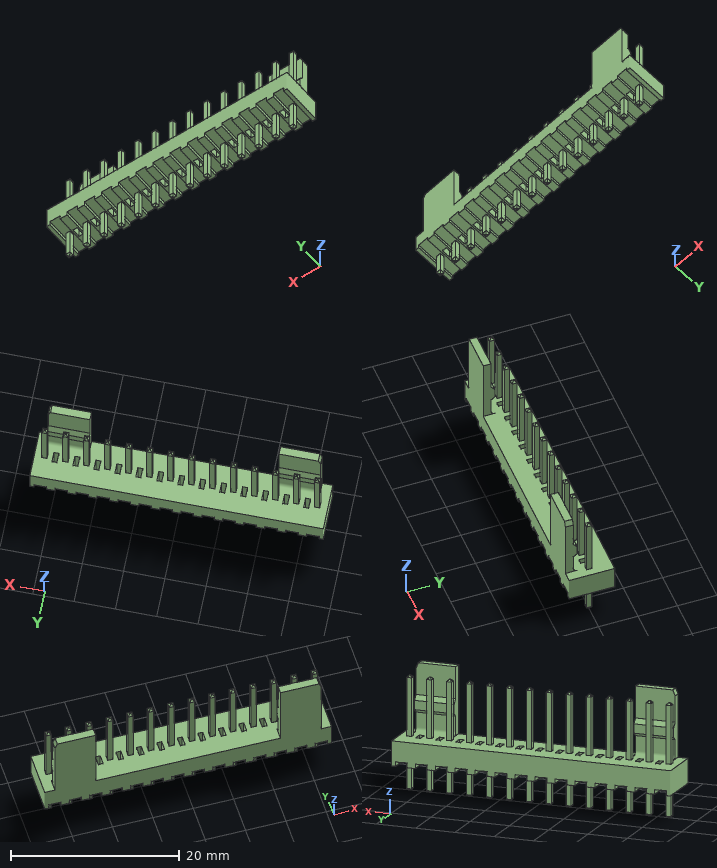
import cadquery as cq
import math

PIN_COUNT = 14
PITCH = 2.54
PIN_SIDE = 0.64
PIN_TIP_LENGTH = 0.25
PIN_TIP_FLAT = 0.14
PIN_BELOW_BASE = 3.6
PIN_ABOVE_BASE = 7.5

BASE_LENGTH = PIN_COUNT * PITCH
BASE_WIDTH = 5.8
BASE_HEIGHT = 3.13
CORNER_RADIUS = 0.05
FRONT_Y = -BASE_WIDTH / 2

CHANNEL_WIDTH = 1.5
CHANNEL_DEPTH = 0.57

SLOT_LENGTH = 0.6
SLOT_WIDTH = 1.2

TOTAL_HEIGHT = 15.26
WALL_TOP = TOTAL_HEIGHT - PIN_BELOW_BASE
WALL_LENGTH = 2 * PITCH
WALL_THICKNESS = 1.0
WALL_OUTER_X = (PIN_COUNT - 1) * PITCH / 2
WALL_CHAMFER_X = 0.3
WALL_CHAMFER_Z = 0.7
WALL_FOOT_RADIUS = 0.5

BUMP_HEIGHT = 0.5
BUMP_BOTTOM = BASE_HEIGHT + 2.4
BUMP_LOWER_RAMP = 0.43
BUMP_CREST = 1.15
BUMP_UPPER_RAMP = 0.6


def pin_positions():
    """X coordinate of every pin, from -X to +X."""
    return [(i - (PIN_COUNT - 1) / 2) * PITCH for i in range(PIN_COUNT)]


def make_base():
    """Block with rounded vertical edges, underside channels and through slots."""
    base = cq.Workplane("XY").box(BASE_LENGTH, BASE_WIDTH, BASE_HEIGHT, centered=(True, True, False))
    base = base.edges("|Z").fillet(CORNER_RADIUS)

    channels = (
        cq.Workplane("XY")
        .pushPoints([(x, 0) for x in pin_positions()])
        .rect(CHANNEL_WIDTH, BASE_WIDTH)
        .extrude(CHANNEL_DEPTH)
    )
    slots = (
        cq.Workplane("XY")
        .pushPoints([(x + PITCH / 2, 0) for x in pin_positions()[:-1]])
        .rect(SLOT_LENGTH, SLOT_WIDTH)
        .extrude(BASE_HEIGHT)
    )
    return base.cut(channels).cut(slots)


def make_right_wall():
    """Wall at the +X end: bumped YZ profile with its outer top corner cut off."""
    inner_y = FRONT_Y + WALL_THICKNESS
    foot_y = inner_y + WALL_FOOT_RADIUS
    foot_top = BASE_HEIGHT + WALL_FOOT_RADIUS
    foot_mid = WALL_FOOT_RADIUS * (1 - math.sqrt(0.5))
    crest_y = inner_y + BUMP_HEIGHT
    crest_bottom = BUMP_BOTTOM + BUMP_LOWER_RAMP
    crest_top = crest_bottom + BUMP_CREST

    wall = (
        cq.Workplane("YZ", origin=(WALL_OUTER_X - WALL_LENGTH, 0, 0))
        .moveTo(FRONT_Y, BASE_HEIGHT)
        .lineTo(foot_y, BASE_HEIGHT)
        .threePointArc((inner_y + foot_mid, BASE_HEIGHT + foot_mid), (inner_y, foot_top))
        .lineTo(inner_y, BUMP_BOTTOM)
        .lineTo(crest_y, crest_bottom)
        .lineTo(crest_y, crest_top)
        .lineTo(inner_y, crest_top + BUMP_UPPER_RAMP)
        .lineTo(inner_y, WALL_TOP)
        .lineTo(FRONT_Y, WALL_TOP)
        .close()
        .extrude(WALL_LENGTH)
    )
    corner = (
        cq.Workplane("XZ", origin=(0, FRONT_Y, 0))
        .moveTo(WALL_OUTER_X, WALL_TOP)
        .lineTo(WALL_OUTER_X - WALL_CHAMFER_X, WALL_TOP)
        .lineTo(WALL_OUTER_X, WALL_TOP - WALL_CHAMFER_Z)
        .close()
        .extrude(-WALL_THICKNESS)
    )
    return wall.cut(corner)


def make_pin_tip(base_z, direction):
    """Truncated pyramid that closes a pin end; direction is +1 for up and -1 for down."""
    return (
        cq.Workplane("XY", origin=(0, 0, base_z))
        .rect(PIN_SIDE, PIN_SIDE)
        .workplane(offset=direction * PIN_TIP_LENGTH)
        .rect(PIN_TIP_FLAT, PIN_TIP_FLAT)
        .loft(ruled=True)
    )


def make_pin():
    """Square pin with a tapered tip at both ends."""
    shank_bottom = PIN_TIP_LENGTH - PIN_BELOW_BASE
    shank_top = BASE_HEIGHT + PIN_ABOVE_BASE - PIN_TIP_LENGTH
    shank = cq.Workplane("XY", origin=(0, 0, shank_bottom)).rect(PIN_SIDE, PIN_SIDE)
    shank = shank.extrude(shank_top - shank_bottom)
    return shank.union(make_pin_tip(shank_top, 1)).union(make_pin_tip(shank_bottom, -1))


right_wall = make_right_wall()
result = make_base().union(right_wall).union(right_wall.mirror("YZ"))
pin = make_pin()
for pin_x in pin_positions():
    result = result.union(pin.translate((pin_x, 0, 0)))